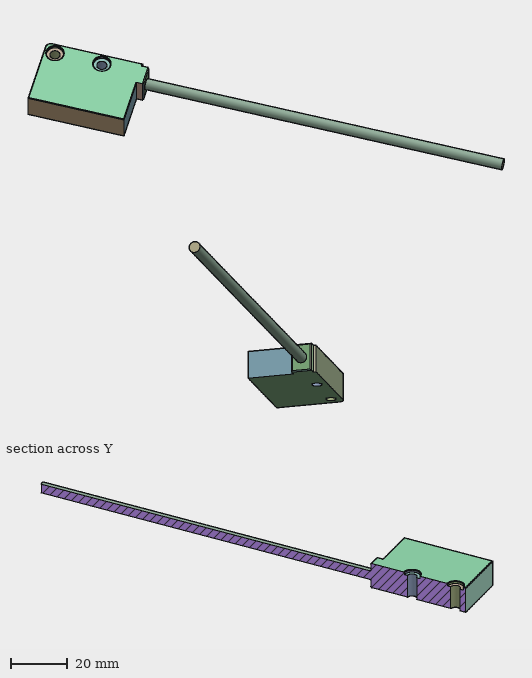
import cadquery as cq

total_length = 167.5
body_length = 35.0
body_width = 25.0
body_height = 10.0
corner_radius = 2.0
top_edge_chamfer = 0.25

cable_diameter = 4.0
cable_y = body_width - 4.7
outlet_width = 7.4
outlet_end_x = 37.5
outlet_chamfer = 0.42

hole_diameter = 3.5
counterbore_diameter = 6.0
counterbore_depth = 1.0
rim_chamfer = 0.25
hole_end_distance = 4.0
hole_side_distance = 3.9
hole_spacing = 17.1


def make_body():
    """Rectangular housing with one rounded corner and a lightly chamfered top rim."""
    block = cq.Workplane("XY").box(body_length, body_width, body_height, centered=False)
    block = block.edges("|Z and <X and >Y").fillet(corner_radius)
    return block.faces(">Z").edges().chamfer(top_edge_chamfer)


def make_outlet():
    """Full-height cable outlet, chamfered around its free end and buried in the housing."""
    start_x = body_length - 2 * top_edge_chamfer
    outlet = cq.Workplane("XY").box(
        outlet_end_x - start_x, outlet_width, body_height, centered=(False, True, False)
    )
    outlet = outlet.faces(">X").chamfer(outlet_chamfer)
    return outlet.translate((start_x, cable_y, 0))


def make_cable():
    """Straight round cable from inside the housing to the far end."""
    axis_start = (body_length, cable_y, body_height / 2)
    return (
        cq.Workplane("YZ", origin=axis_start)
        .circle(cable_diameter / 2)
        .extrude(total_length - body_length)
    )


def make_hole_cutter(x):
    """Stepped cylinder, widened by a chamfer where it meets the top face."""
    bore_radius = hole_diameter / 2
    counterbore_radius = counterbore_diameter / 2
    floor_z = body_height - counterbore_depth
    profile = [
        (0, 0),
        (bore_radius, 0),
        (bore_radius, floor_z),
        (counterbore_radius, floor_z),
        (counterbore_radius, body_height - rim_chamfer),
        (counterbore_radius + rim_chamfer, body_height),
        (0, body_height),
    ]
    cutter = cq.Workplane("XZ").polyline(profile).close().revolve(360, (0, 0), (0, 1))
    return cutter.translate((x, body_width - hole_side_distance, 0))


result = make_body().union(make_outlet()).union(make_cable())
for hole_x in (hole_end_distance, hole_end_distance + hole_spacing):
    result = result.cut(make_hole_cutter(hole_x))